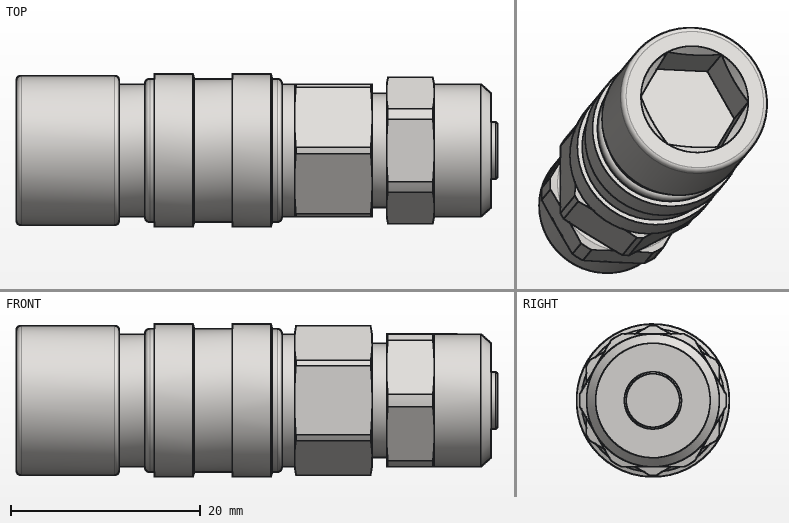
import cadquery as cq
import math

total_length = 50.75

sleeve_diameter = 15.8
neck_diameter = 14.0
collar_diameter = 15.1
ring_diameter = 16.15
nut_neck_diameter = 12.1
stem_diameter = 6.05

sleeve_end = 10.85
collar_start = 13.55
front_ring_start = 14.55
ring_width = 4.2
rear_ring_start = 22.8
collar_end = 28.0
body_hex_start = 29.35
body_hex_end = 37.5
nut_hex_start = 39.0
nut_hex_end = 44.05
nut_end = 50.05

sleeve_fillet = 0.5
collar_fillet = 0.5
ring_taper_length = 0.15
stem_chamfer = 0.2
nut_chamfer_length = 1.05
nut_chamfer_depth = 0.95

hex_half_side_angle = 30.0
hex_across_flats = 14.0
body_hex_corner_diameter = 15.8
nut_hex_corner_diameter = 15.5
hex_chamfer_length = 0.15

socket_across_flats = 10.0
socket_depth = 7.6
socket_chamfer_angle = 45.0


def cylinder(start, end, diameter):
    """Round length along X."""
    plane = cq.Workplane("YZ", origin=(start, 0, 0))
    return plane.circle(diameter / 2).extrude(end - start)


def hexagon(start, end, across_flats, turn=0):
    """Hexagonal length along X, with corners on the Y axis before it is turned."""
    corner_diameter = across_flats / math.cos(math.radians(hex_half_side_angle))
    plane = cq.Workplane("YZ", origin=(start, 0, 0))
    prism = plane.polygon(6, corner_diameter).extrude(end - start)
    return prism.rotate((0, 0, 0), (1, 0, 0), turn)


def wrench_hexagon(start, end, corner_diameter, turn=0):
    """Hexagon with corners turned round and both ends chamfered by a cone."""
    chamfer_depth = (corner_diameter - hex_across_flats) / 2
    blank = cylinder(start, end, corner_diameter)
    blank = blank.faces("<X or >X").chamfer(hex_chamfer_length, chamfer_depth)
    return hexagon(start, end, hex_across_flats, turn).intersect(blank)


def grip_ring(start):
    """Raised ring with a square front edge and a tapered rear flank."""
    taper_depth = (ring_diameter - collar_diameter) / 2
    ring = cylinder(start, start + ring_width, ring_diameter)
    return ring.faces(">X").chamfer(ring_taper_length, taper_depth)


def nut():
    """Round end of the clamping nut, with a chamfered rear edge."""
    body = cylinder(nut_hex_end, nut_end, neck_diameter)
    return body.faces(">X").chamfer(nut_chamfer_length, nut_chamfer_depth)


def socket():
    """Blind hexagon socket with a conical lead-in that starts at the hexagon's corners."""
    mouth_radius = socket_across_flats / 2 / math.cos(math.radians(hex_half_side_angle))
    cone_depth = mouth_radius / math.tan(math.radians(socket_chamfer_angle))
    lead_in = cq.Workplane("XY").polyline([(0, 0), (0, mouth_radius), (cone_depth, 0)]).close()
    lead_in = lead_in.revolve(360, (0, 0, 0), (1, 0, 0))
    return hexagon(0, socket_depth, socket_across_flats).union(lead_in)


sleeve = cylinder(0, sleeve_end, sleeve_diameter).faces("<X or >X").edges().fillet(sleeve_fillet)
front_neck = cylinder(sleeve_end, body_hex_start, neck_diameter)
collar = cylinder(collar_start, collar_end, collar_diameter).faces("<X or >X").edges().fillet(collar_fillet)
body_hex = wrench_hexagon(body_hex_start, body_hex_end, body_hex_corner_diameter, turn=hex_half_side_angle)
nut_neck = cylinder(body_hex_end, nut_hex_start, nut_neck_diameter)
nut_hex = wrench_hexagon(nut_hex_start, nut_hex_end, nut_hex_corner_diameter)
stem = cylinder(nut_end, total_length, stem_diameter).faces(">X").chamfer(stem_chamfer)

result = sleeve.union(front_neck).union(collar)
for ring_start in (front_ring_start, rear_ring_start):
    result = result.union(grip_ring(ring_start))
for section in (body_hex, nut_neck, nut_hex, nut(), stem):
    result = result.union(section)
result = result.cut(socket())